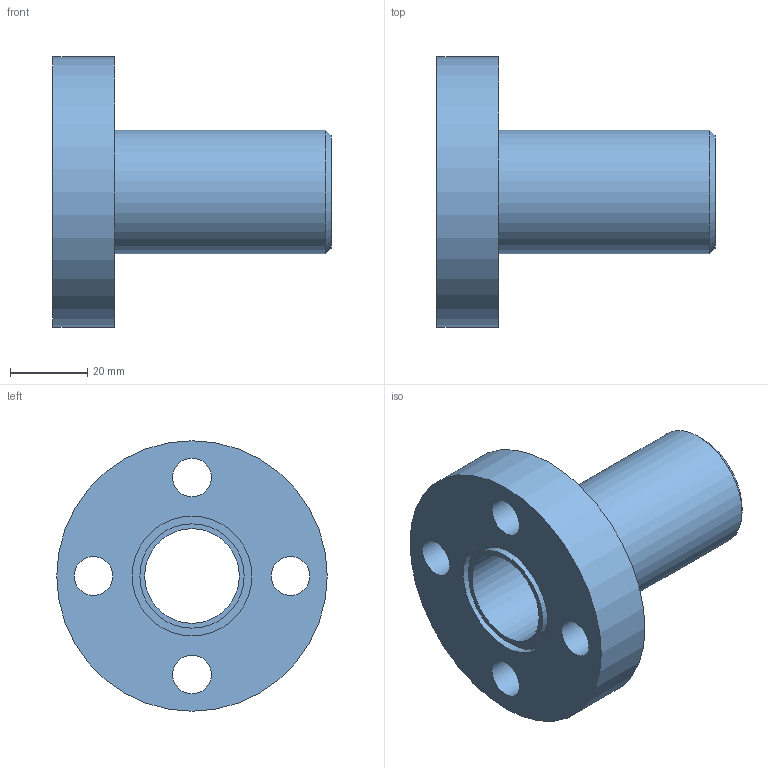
import cadquery as cq

total_length = 72.0
flange_diameter = 70.0
flange_thickness = 16.0
sleeve_diameter = 32.0
sleeve_chamfer = 1.5

bore_diameter = 24.5
groove_outer_diameter = 31.0
groove_inner_diameter = 27.0
groove_depth = 2.0

hole_count = 4
hole_diameter = 10.0
hole_circle_diameter = 51.0


def make_body():
    """Flange and sleeve, with the free end of the sleeve chamfered."""
    flange = cq.Workplane("YZ").circle(flange_diameter / 2).extrude(flange_thickness)
    sleeve = cq.Workplane("YZ").circle(sleeve_diameter / 2).extrude(total_length)
    sleeve = sleeve.faces(">X").edges().chamfer(sleeve_chamfer)
    return flange.union(sleeve)


def make_bore():
    """Straight through bore."""
    return cq.Workplane("YZ").circle(bore_diameter / 2).extrude(total_length)


def make_face_groove():
    """Ring-shaped groove in the flange face, concentric with the bore."""
    return (
        cq.Workplane("YZ")
        .circle(groove_outer_diameter / 2)
        .circle(groove_inner_diameter / 2)
        .extrude(groove_depth)
    )


def make_mounting_holes():
    """Through holes equally spaced around the flange."""
    full_turn = 360
    return (
        cq.Workplane("YZ")
        .polarArray(hole_circle_diameter / 2, 0, full_turn, hole_count)
        .circle(hole_diameter / 2)
        .extrude(flange_thickness)
    )


result = make_body().cut(make_bore()).cut(make_face_groove()).cut(make_mounting_holes())